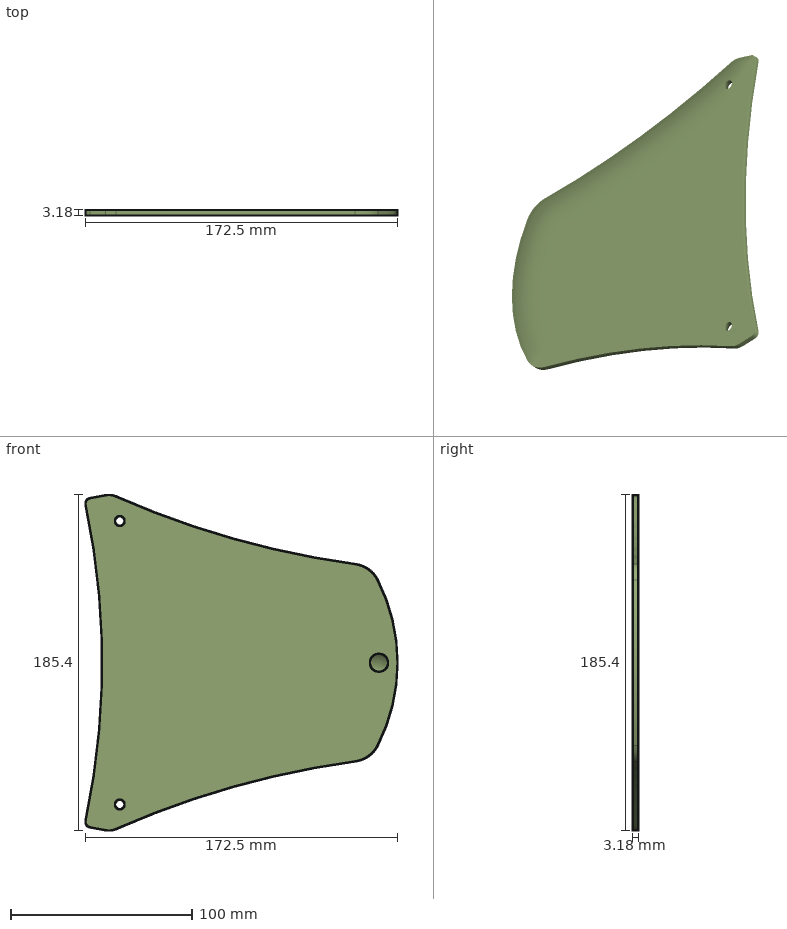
import cadquery as cq
import math

THICKNESS = 3.175
FRONT_Y = -THICKNESS / 2

REAR_CORNER = (-86.85, 90.35)
EAR_CORNER = (-72.0, 93.1)
TIP_CORNER = (70.8, 53.5)

REAR_EDGE_RADIUS = 420.0
SIDE_EDGE_RADIUS = 490.0
TIP_EDGE_X = 86.225

REAR_CORNER_RADIUS = 3.2
EAR_CORNER_RADIUS = 10.0
TIP_CORNER_RADIUS = 16.5

EAR_HOLE_DIAMETER = 5.2
EAR_HOLE_X = -67.2
EAR_HOLE_SPACING = 156.5

DIMPLE_X = 75.9
DIMPLE_DIAMETER = 10.0
DIMPLE_DEPTH = 3.0


def mirrored(point):
    """Reflect an outline point (x, z) across the plate's centreline."""
    return (point[0], -point[1])


def arc_midpoint(start, end, radius):
    """Midpoint of an arc bulging to the right of the path from start to end."""
    dx = end[0] - start[0]
    dz = end[1] - start[1]
    chord = math.hypot(dx, dz)
    sagitta = radius - math.sqrt(radius**2 - (chord / 2) ** 2)
    mid_x = (start[0] + end[0]) / 2 + sagitta * dz / chord
    mid_z = (start[1] + end[1]) / 2 - sagitta * dx / chord
    return (mid_x, mid_z)


def round_corners(plate, corner, radius):
    """Round the outline corner and its mirror image."""
    half_size = 1.0
    for x, z in (corner, mirrored(corner)):
        picker = cq.selectors.BoxSelector(
            (x - half_size, -THICKNESS, z - half_size),
            (x + half_size, THICKNESS, z + half_size),
        )
        plate = plate.edges("|Y").edges(picker).fillet(radius)
    return plate


def make_plate():
    """Extruded outline, walked clockwise from the upper rear corner."""
    side_middle = arc_midpoint(EAR_CORNER, TIP_CORNER, SIDE_EDGE_RADIUS)
    rear_middle = arc_midpoint(mirrored(REAR_CORNER), REAR_CORNER, REAR_EDGE_RADIUS)
    plate = (
        cq.Workplane("XZ")
        .moveTo(*REAR_CORNER)
        .lineTo(*EAR_CORNER)
        .threePointArc(side_middle, TIP_CORNER)
        .threePointArc((TIP_EDGE_X, 0), mirrored(TIP_CORNER))
        .threePointArc(mirrored(side_middle), mirrored(EAR_CORNER))
        .lineTo(*mirrored(REAR_CORNER))
        .threePointArc(rear_middle, REAR_CORNER)
        .close()
        .extrude(THICKNESS / 2, both=True)
    )
    plate = round_corners(plate, REAR_CORNER, REAR_CORNER_RADIUS)
    plate = round_corners(plate, EAR_CORNER, EAR_CORNER_RADIUS)
    return round_corners(plate, TIP_CORNER, TIP_CORNER_RADIUS)


def make_ear_holes():
    half_spacing = EAR_HOLE_SPACING / 2
    return (
        cq.Workplane("XZ")
        .pushPoints([(EAR_HOLE_X, half_spacing), (EAR_HOLE_X, -half_spacing)])
        .circle(EAR_HOLE_DIAMETER / 2)
        .extrude(THICKNESS, both=True)
    )


def make_dimple():
    """Ball whose cap below the front face has the dimple's width and depth."""
    rim_radius = DIMPLE_DIAMETER / 2
    ball_radius = (rim_radius**2 + DIMPLE_DEPTH**2) / (2 * DIMPLE_DEPTH)
    ball_y = FRONT_Y + DIMPLE_DEPTH - ball_radius
    return cq.Workplane("XY").sphere(ball_radius).translate((DIMPLE_X, ball_y, 0))


result = make_plate().cut(make_ear_holes()).cut(make_dimple())